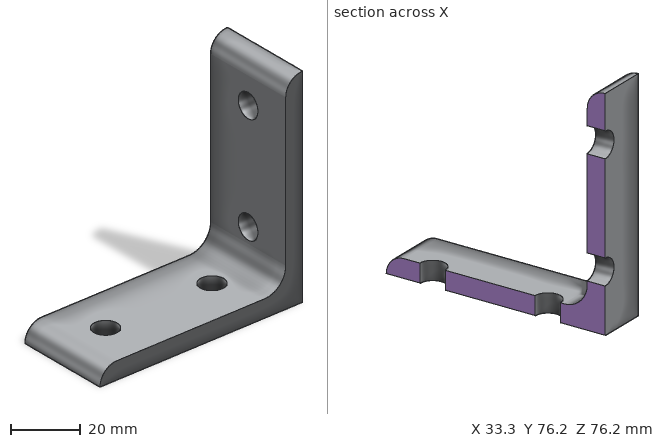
import cadquery as cq

leg_length = 76.2
width = 33.3
thickness = 6.4
toe_radius = thickness
root_radius = 8.0
hole_diameter = 8.7
hole_distances = (20.0, 60.0)

half_length = leg_length / 2
half_width = width / 2


def angle_section():
    """L profile in the YZ plane with its outer corner at +Y, -Z."""
    back = half_length
    bottom = -half_length
    inner_y = back - thickness
    inner_z = bottom + thickness
    return (
        cq.Workplane("YZ", origin=(-half_width, 0, 0))
        .moveTo(back, bottom)
        .lineTo(back, half_length)
        .radiusArc((inner_y, half_length - toe_radius), -toe_radius)
        .lineTo(inner_y, inner_z + root_radius)
        .radiusArc((inner_y - root_radius, inner_z), root_radius)
        .lineTo(-half_length + toe_radius, inner_z)
        .radiusArc((-half_length, bottom), -toe_radius)
        .close()
    )


def leg_holes(plane, corner, inward):
    """Cutters through one leg, placed along it inward from the outer corner."""
    centres = [(0, corner + inward * distance) for distance in hole_distances]
    return (
        cq.Workplane(plane)
        .pushPoints(centres)
        .circle(hole_diameter / 2)
        .extrude(leg_length, both=True)
    )


upright_holes = leg_holes("XZ", -half_length, 1)
base_holes = leg_holes("XY", half_length, -1)

result = angle_section().extrude(width).cut(upright_holes).cut(base_holes)